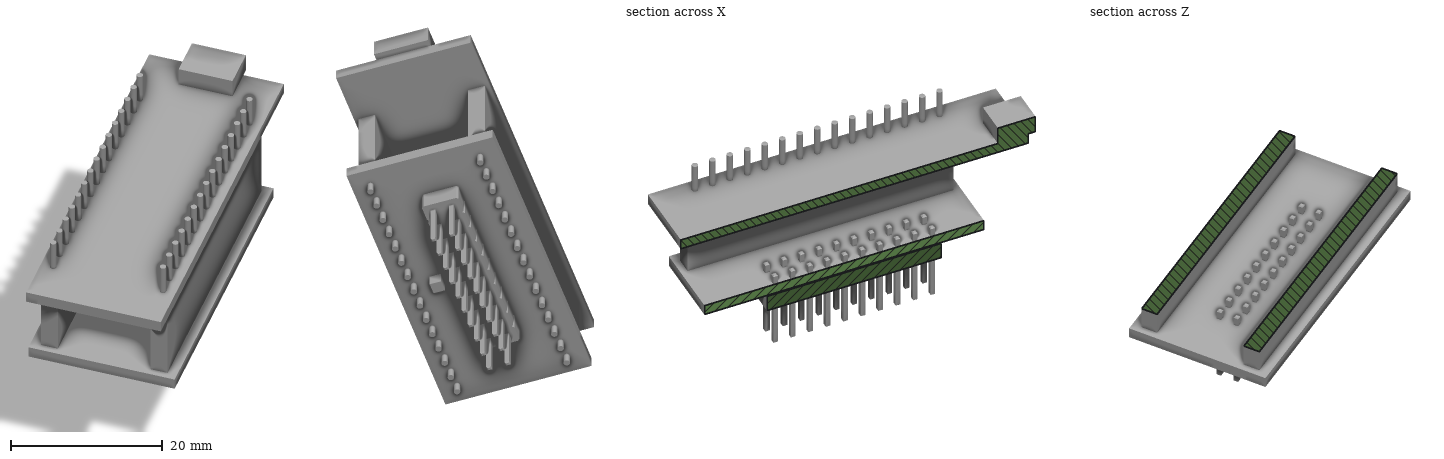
import cadquery as cq

PITCH = 2.54

BOARD_THICKNESS = 1.6
CARRIER_WIDTH = 8 * PITCH
CARRIER_LENGTH = 16 * PITCH
CARRIER_TOP = BOARD_THICKNESS

STRIP_WIDTH = 2.35
STRIP_LENGTH = 38.7
STRIP_HEIGHT = 11.0
MODULE_BOTTOM = CARRIER_TOP + STRIP_HEIGHT
MODULE_TOP = MODULE_BOTTOM + BOARD_THICKNESS
MODULE_WIDTH = 18.7
MODULE_LENGTH = 50.6
MODULE_CENTER_X = 0.05
MODULE_CENTER_Y = 1.53
MODULE_PINS_CENTER_Y = 0.05
MODULE_ROWS = 2
MODULE_PINS_PER_ROW = 15
MODULE_ROW_SPACING = 6 * PITCH
ROUND_PIN_DIAMETER = 0.85
ROUND_PIN_RISE = 4.25
ROUND_PIN_DROP = 1.4

USB_WIDTH = 7.5
USB_LENGTH = 5.5
USB_HEIGHT = 2.65
USB_OVERHANG = 1.0

UNDERSIDE_GAP = 0.08

HEADER_ROWS = 2
HEADER_COLUMNS = 10
HEADER_CENTER_X = -0.72
HEADER_CENTER_Y = 1.48
HEADER_HEIGHT = PITCH
HEADER_BOTTOM = -UNDERSIDE_GAP - HEADER_HEIGHT
HEADER_CORNER = 0.25
SQUARE_PIN_WIDTH = 0.66
SQUARE_PIN_TIP = 0.15
SQUARE_PIN_RISE = 1.4
OVERALL_HEIGHT = 27.09
SQUARE_PIN_BOTTOM = MODULE_TOP + ROUND_PIN_RISE - OVERALL_HEIGHT

COMPONENT_SIZE = 1.6
COMPONENT_CENTER_X = 4.4
COMPONENT_BOTTOM = -UNDERSIDE_GAP - COMPONENT_SIZE


def block(width, length, height, x, y, bottom):
    """Box centred on (x, y) that stands on z = bottom."""
    return (
        cq.Workplane("XY", origin=(x, y, bottom))
        .box(width, length, height, centered=(True, True, False))
    )


def round_pins(bottom, top):
    """Both rows of round module pins between two heights."""
    return (
        cq.Workplane("XY", origin=(MODULE_CENTER_X, MODULE_PINS_CENTER_Y, bottom))
        .rarray(MODULE_ROW_SPACING, PITCH, MODULE_ROWS, MODULE_PINS_PER_ROW)
        .circle(ROUND_PIN_DIAMETER / 2)
        .extrude(top - bottom)
    )


def make_carrier():
    """Carrier board with a hole for every pin that passes through it."""
    board = block(CARRIER_WIDTH, CARRIER_LENGTH, BOARD_THICKNESS, 0, 0, 0)
    square_holes = (
        cq.Workplane("XY", origin=(HEADER_CENTER_X, HEADER_CENTER_Y, 0))
        .rarray(PITCH, PITCH, HEADER_ROWS, HEADER_COLUMNS)
        .rect(SQUARE_PIN_WIDTH, SQUARE_PIN_WIDTH)
        .extrude(BOARD_THICKNESS)
    )
    return board.cut(round_pins(0, CARRIER_TOP)).cut(square_holes)


def make_module():
    """Controller module with its USB socket, socket strips and pins."""
    module = block(
        MODULE_WIDTH, MODULE_LENGTH, BOARD_THICKNESS,
        MODULE_CENTER_X, MODULE_CENTER_Y, MODULE_BOTTOM,
    )

    usb_end = MODULE_CENTER_Y + MODULE_LENGTH / 2 + USB_OVERHANG
    usb_y = usb_end - USB_LENGTH / 2
    module = module.union(block(USB_WIDTH, USB_LENGTH, USB_HEIGHT, MODULE_CENTER_X, usb_y, MODULE_TOP))

    for side in (-1, 1):
        strip_x = MODULE_CENTER_X + side * MODULE_ROW_SPACING / 2
        module = module.union(block(STRIP_WIDTH, STRIP_LENGTH, STRIP_HEIGHT, strip_x, 0, CARRIER_TOP))

    return module.union(round_pins(-ROUND_PIN_DROP, MODULE_TOP + ROUND_PIN_RISE))


def make_header():
    """Pin header: a row of corner-cut housing cells with one square pin per header row in each."""
    cell = (
        block(HEADER_ROWS * PITCH, PITCH, HEADER_HEIGHT, HEADER_CENTER_X, HEADER_CENTER_Y, HEADER_BOTTOM)
        .edges("|Z")
        .chamfer(HEADER_CORNER)
    )
    pin_length = CARRIER_TOP + SQUARE_PIN_RISE - SQUARE_PIN_BOTTOM
    pin = (
        block(
            SQUARE_PIN_WIDTH, SQUARE_PIN_WIDTH, pin_length,
            HEADER_CENTER_X, HEADER_CENTER_Y, SQUARE_PIN_BOTTOM,
        )
        .faces("<Z or >Z")
        .chamfer(SQUARE_PIN_TIP)
    )

    header = cq.Workplane("XY")
    for column in range(HEADER_COLUMNS):
        y_shift = (column - (HEADER_COLUMNS - 1) / 2) * PITCH
        header = header.union(cell.translate((0, y_shift, 0)))
        for row in range(HEADER_ROWS):
            x_shift = (row - (HEADER_ROWS - 1) / 2) * PITCH
            header = header.union(pin.translate((x_shift, y_shift, 0)))
    return header


def make_component():
    """Small cubic component on the underside of the carrier board."""
    return block(COMPONENT_SIZE, COMPONENT_SIZE, COMPONENT_SIZE, COMPONENT_CENTER_X, 0, COMPONENT_BOTTOM)


carrier = make_carrier()
module = make_module()
header = make_header()
component = make_component()

result = cq.Compound.makeCompound([carrier.val(), module.val(), header.val(), component.val()])